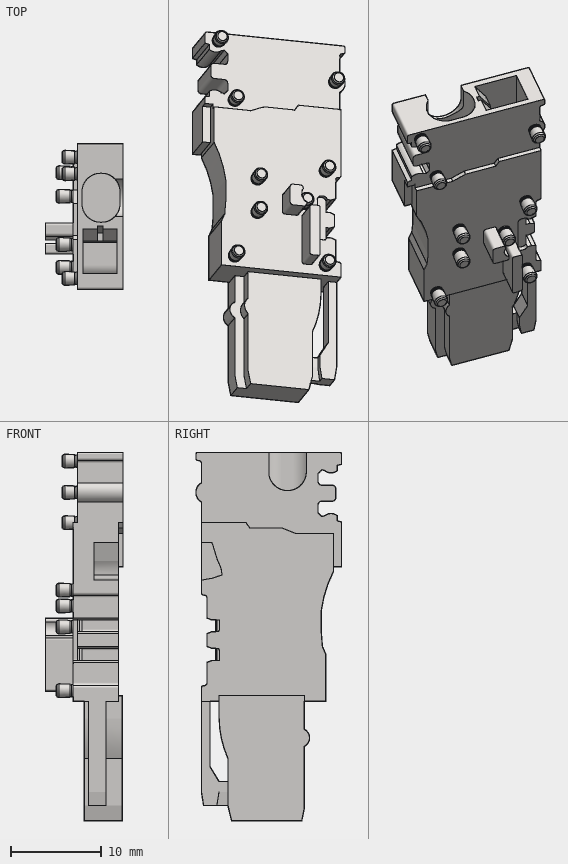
import cadquery as cq


total_height = 40.75
total_depth = 16.15
module_width = 5.05
head_offset = 0.5
front_y = 0.6
back_y = 15.25

head_left = head_offset
head_right = head_offset + module_width


def plate(outline, x_start, x_end):
    """Extrude a YZ outline from x_start to x_end."""
    return outline.close().extrude(x_end - x_start).translate((x_start, 0, 0))


def yz():
    """Sketch plane of the outlines: first coordinate Y, second Z."""
    return cq.Workplane("YZ")


def box(x_range, y_range, z_range):
    """Box between two limits along each axis."""
    limits = (x_range, y_range, z_range)
    size = [end - start for start, end in limits]
    corner = tuple(start for start, end in limits)
    return cq.Workplane("XY").box(*size, centered=False).translate(corner)


def rounded_step(outline, start, end):
    """Continue an outline over a step in Y as two opposite arcs that meet halfway."""
    (y1, z1), (y2, z2) = start, end
    y_middle = (y1 + y2) / 2
    z_middle = (z1 + z2) / 2
    outline = outline.tangentArcPoint((y_middle, z_middle), relative=False)
    return outline.tangentArcPoint(end, relative=False)


seam = [(front_y, 33.0), (5.55, 33.0), (5.95, 32.4), (9.5, 32.4), (11.0, 31.8), (back_y, 31.8)]

roller_y = 1.22
roller_z = 36.3
notch_middle_z = 36.23
notch_bottom_y = 13.53
notch_corner = 0.4
notch_inner = 0.9
notch_outer = 2.55
notch_mouth = 3.18
tongue_y = 15.5
ear_y = 15.65
tab_top_z = 32.27
tab_bottom_z = 28.08
tab_left = 1.45
top_edge_radius = 0.25
lip_bottom_z = 40.1
lip_step_end_z = 39.53


def head_outline():
    outline = yz().polyline(seam)
    for point in [(back_y, tab_top_z), (total_depth, tab_top_z), (total_depth, total_height),
                  (0, total_height), (0, lip_bottom_z)]:
        outline = outline.lineTo(*point)
    return rounded_step(outline, (0, lip_bottom_z), (front_y, lip_step_end_z))


def back_notch(side):
    """Notch in the +Y edge, above (side = 1) or below (side = -1) the tongue."""
    def at(y, distance):
        return (y, notch_middle_z + side * distance)

    flank_y = notch_bottom_y + notch_corner
    outline = yz().moveTo(*at(total_depth, 0)).lineTo(*at(tongue_y, 0))
    outline = outline.lineTo(*at(tongue_y, notch_inner - notch_corner))
    outline = outline.radiusArc(at(tongue_y - notch_corner, notch_inner), -side * notch_corner)
    outline = outline.lineTo(*at(flank_y, notch_inner))
    outline = outline.radiusArc(at(notch_bottom_y, notch_inner + notch_corner), side * notch_corner)
    outline = outline.lineTo(*at(notch_bottom_y, notch_outer - notch_corner))
    outline = outline.lineTo(*at(flank_y, notch_outer))
    ear_start, ear_middle, ear_end = at(14.25, 2.5), at(14.85, 2.25), at(ear_y, 2.5)
    outline = outline.lineTo(*ear_start).threePointArc(ear_middle, ear_end)
    outline = outline.lineTo(*at(ear_y, notch_mouth - 0.12)).lineTo(*at(total_depth, notch_mouth))
    return plate(outline, head_left, head_right)


def head():
    slab = plate(head_outline(), head_left, head_right)
    slab = slab.edges("|X and >Z").fillet(top_edge_radius)
    slab = slab.cut(back_notch(1)).cut(back_notch(-1))
    roller = yz().center(roller_y, roller_z).circle(roller_y).extrude(module_width)
    roller = roller.translate((head_left, 0, 0))
    tab = box((tab_left, head_right), (back_y, total_depth), (tab_bottom_z, tab_top_z))
    return slab.union(roller).union(tab)


def wire_funnel():
    """Oval well from the top, with a U-shaped trough opening it to the +X side."""
    well_x, well_y = 3.1, 10.15
    well_depth = 6.1
    well_radius = 2.05
    well = cq.Workplane("XY").center(well_x, well_y).rect(4.2, 5.4).extrude(well_depth)
    well = well.edges("|Z").fillet(well_radius).translate((0, 0, total_height - well_depth))
    trough_radius = 2.08
    trough_z = 38.6
    trough = yz().center(well_y, trough_z).circle(trough_radius).extrude(head_right - well_x)
    trough = trough.translate((well_x, 0, 0))
    trough_sides = (well_y - trough_radius, well_y + trough_radius)
    walls = box((well_x, head_right), trough_sides, (trough_z, total_height))
    return well.union(trough).union(walls)


def tool_pocket():
    """Rectangular pocket from the top with a sloped +Y wall that carries a narrow groove."""
    floor_z = 34.65
    floor_start_y = 5.18
    floor_end_y = 2.65
    front_wall_y = 1.8
    groove_floor_z = 37.9
    pocket = yz().polyline([(front_wall_y, total_height), (6.7, total_height), (5.38, 38.65),
                            (floor_start_y, floor_z), (floor_end_y, floor_z)])
    pocket = pocket.tangentArcPoint((front_wall_y, floor_z - 0.3), relative=False)
    groove = yz().polyline([(floor_start_y, total_height), (7.0, total_height), (6.25, groove_floor_z),
                            (floor_start_y, groove_floor_z)])
    return plate(pocket, 1.1, 4.85).union(plate(groove, 2.75, 3.3))


body_bottom = 13.2
rail_y = 1.22
groove_y = 2.2
rail_grooves = [(17.73, 19.07), (20.9, 22.2)]
nose_y = 1.75
nose_height = 0.2


def body_outline():
    outline = yz().polyline(seam)
    outline = outline.lineTo(back_y, 27.6)
    outline = outline.threePointArc((14.3, 25.22), (13.9, 23.25))
    for point in [(13.9, 20.8), (14.0, 19.27), (14.4, 18.4), (14.4, body_bottom), (front_y, body_bottom),
                  (front_y, 14.65)]:
        outline = outline.lineTo(*point)
    outline = rounded_step(outline, (front_y, 14.65), (rail_y, 15.25))
    for bottom, top in rail_grooves:
        for point in [(rail_y, bottom - nose_height), (nose_y, bottom), (groove_y, bottom),
                      (groove_y, top), (nose_y, top), (rail_y, top + nose_height)]:
            outline = outline.lineTo(*point)
    outline = outline.lineTo(rail_y, 24.65)
    return rounded_step(outline, (rail_y, 24.65), (front_y, 25.22))


def body():
    solid = plate(body_outline(), 0, module_width)
    side_opening = yz().polyline([(front_y, 26.6), (front_y, 30.75), (1.8, 30.75), (2.45, 28.7)])
    side_opening = side_opening.threePointArc((2.77, 27.95), (2.9, 27.2)).lineTo(1.8, 26.8)
    solid = solid.cut(plate(side_opening, 2.32, module_width))
    slot_width = 1.15
    slot_radius = 0.5
    slot = box((0, head_offset), (groove_y, groove_y + slot_width), (17.4, 22.58))
    slot = slot.edges("|X").fillet(slot_radius)
    lowest, highest = rail_grooves[0][0], rail_grooves[-1][1]
    tooth_relief = box((0, head_offset), (0, groove_y + slot_width / 2), (lowest, highest))
    solid = solid.cut(slot).cut(tooth_relief)
    for (bottom, top), tooth_side in zip(rail_grooves, (">Z", "<Z")):
        solid = solid.cut(groove_undercut(bottom, top, tooth_side))
    return solid


def groove_undercut(bottom, top, tooth_side):
    """Deepen a rail groove behind a bevelled lip; the corner next to the tooth is rounded."""
    lip_end_x = 0.98
    bevel_width = 0.25
    bevel_depth = 0.12
    undercut_depth = 0.4
    corner_radius = 0.25
    bevel = cq.Workplane("XY").polyline([(lip_end_x - bevel_width, groove_y), (lip_end_x, groove_y),
                                         (lip_end_x, groove_y + bevel_depth)])
    bevel = bevel.close().extrude(top - bottom).translate((0, 0, bottom))
    deep = box((lip_end_x, module_width), (nose_y, groove_y + undercut_depth), (bottom, top))
    return deep.faces(tooth_side).edges(">Y").fillet(corner_radius).union(bevel)


plug_left = 1.22
plug_step_x = 2.85
plug_right = 5.45
plug_front_y = 2.55
plug_waist_y = 3.55
inner_back_y = 10.95
outer_back_y = 12.02
plug_collar_top = 13.85
tip_z = 1.67
back_taper_z = 1.45
bump_z = 9.15
bump_half_height = 0.95


def plug_layer(x_start, top, back, bump):
    """Plug plate from x_start to the +X side, with its own +Y face and catch bump."""
    outline = yz().moveTo(plug_front_y, top).lineTo(plug_front_y, 11.3)
    outline = outline.threePointArc((2.85, 8.95), (plug_waist_y, 6.9))
    for point in [(plug_waist_y, tip_z), (plug_waist_y + 0.4, 0), (back - 0.3, 0), (back, back_taper_z),
                  (back, bump_z - bump_half_height)]:
        outline = outline.lineTo(*point)
    outline = outline.threePointArc((back + bump, bump_z), (back, bump_z + bump_half_height))
    return plate(outline.lineTo(back, top), x_start, plug_right)


def latch():
    """Spring arm in front of the plug, tied to it by a bridge near the tip."""
    arm_back_y = 1.6
    hook_top_z = 4.35
    taper_z = 3.18
    arm_left, arm_right = 1.7, 3.65
    bridge_left = 2.5
    bridge_taper = 0.12
    arm = yz().polyline([(front_y, body_bottom), (arm_back_y, body_bottom), (arm_back_y, 6.0),
                         (plug_front_y, hook_top_z), (plug_front_y, taper_z), (plug_front_y - 0.25, tip_z),
                         (front_y + 0.25, tip_z), (front_y, taper_z)])
    bridge = cq.Workplane("XZ").polyline([(bridge_left, hook_top_z), (arm_right, hook_top_z),
                                          (arm_right, taper_z), (arm_right - bridge_taper, tip_z),
                                          (bridge_left + bridge_taper, tip_z), (bridge_left, taper_z)])
    bridge_start_y, bridge_end_y = 2.05, 4.08
    bridge = bridge.close().extrude(bridge_start_y - bridge_end_y).translate((0, bridge_start_y, 0))
    return plate(arm, arm_left, arm_right).union(bridge)


pin_foot_radius = 0.7
pin_neck_radius = 0.65
pin_shank_radius = 0.75
pin_head_radius = 0.77
pin_tip_radius = 0.55
head_pin_length = 1.7
body_pin_length = 1.87
key_pin = (4.97, 21.45)
head_pins = [(14.63, 39.77), (roller_y, roller_z), (12.8, 32.95)]
body_pins = [(2.45, 25.5), (10.3, 23.75), key_pin, (10.3, 19.8), (12.9, 14.4), (2.45, 14.4)]


def pin(face_x, length, place):
    """Pin with a necked foot and a blunt head that is slightly wider than its shank."""
    foot_end, neck_end = -0.15, -0.33
    head_ridge, head_edge = 0.33 - length, 0.12 - length
    profile = [(0, 0), (0, pin_foot_radius), (foot_end, pin_foot_radius), (foot_end, pin_neck_radius),
               (neck_end, pin_neck_radius), (neck_end, pin_shank_radius), (head_ridge, pin_head_radius),
               (head_edge, pin_foot_radius), (-length, pin_tip_radius), (-length, 0)]
    solid = cq.Workplane("XZ").polyline(profile).close().revolve(360, (0, 0, 0), (1, 0, 0))
    return solid.translate((face_x, *place))


def keys():
    """Hollowed key block and key bar standing on the -X face."""
    key_length = 3.05
    block_front_y, block_back_y = 5.45, 7.38
    block_bottom, block_top = 19.95, 22.4
    upper_lip_y = 5.85
    block_radius = 0.33
    clearance_radius = 1.05
    bar_radius = 0.25
    pin_z = key_pin[1]
    block = yz().polyline([(block_front_y, block_bottom), (block_back_y, block_bottom),
                           (block_back_y, block_top), (upper_lip_y, block_top),
                           (upper_lip_y, pin_z), (block_front_y, pin_z)])
    block = plate(block, -key_length, 0).edges("|X and (>Y or <Z or >Z)").fillet(block_radius)
    clearance = yz().center(*key_pin).circle(clearance_radius).extrude(-key_length)
    bar = box((-key_length, 0), (3.9, 5.1), (14.3, 20.2)).edges("|X").fillet(bar_radius)
    return block.cut(clearance).union(bar)


result = head().cut(wire_funnel()).cut(tool_pocket()).union(body())
result = result.union(plug_layer(plug_left, body_bottom, inner_back_y, 0.4))
result = result.union(plug_layer(plug_step_x, body_bottom, outer_back_y, 0.57))
result = result.union(plug_layer(module_width, plug_collar_top, outer_back_y, 0.57))
result = result.union(latch()).union(keys())
for place in head_pins:
    result = result.union(pin(head_left, head_pin_length, place))
for place in body_pins:
    result = result.union(pin(0, body_pin_length, place))